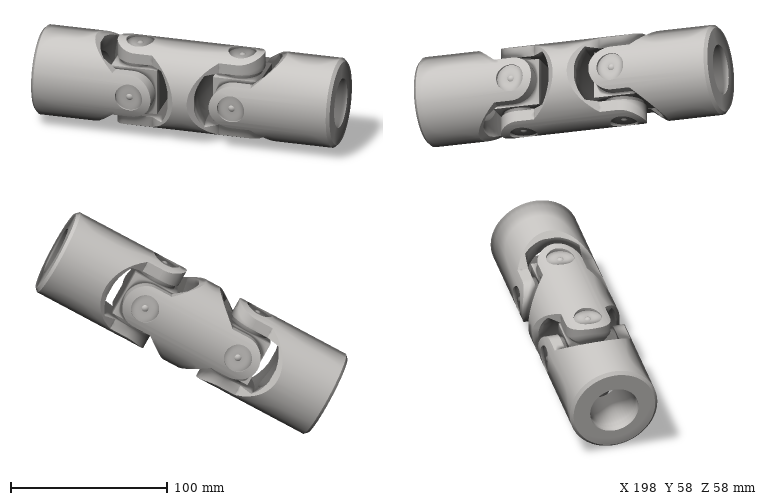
import cadquery as cq

length = 198.0
body_diameter = 58.0
joint_spacing = 67.7
end_chamfer = 2.0
bore_diameter = 32.0

ear_width = 29.1
ear_straight = 11.7
shoulder_run = 17.5

slot_width = 36.0
slot_floor_radius = 28.5
slot_rim_radius = 25.5
slot_rim_offset = 25.7

block_size = 30.7
boss_diameter = 26.0
pin_diameter = 18.0
pin_span = 53.5
dome_diameter = 4.4
dome_height = 1.0

body_radius = body_diameter / 2
joint_x = joint_spacing / 2
ear_half_width = ear_width / 2
shoulder_end = ear_straight + shoulder_run


def shaft(start, end):
    """Round bar along X between two X positions."""
    return cq.Workplane("YZ").workplane(offset=start).circle(body_radius).extrude(end - start)


def place_at_joint(shape, x, shaft_side, ears_across_y):
    """Move a shape made at the origin, with its shaft on +X and ears across Z, to the joint at x."""
    if shaft_side < 0:
        shape = shape.rotate((0, 0, 0), (0, 0, 1), 180)
    if ears_across_y:
        shape = shape.rotate((0, 0, 0), (1, 0, 0), 90)
    return shape.translate((x, 0, 0))


def ear_envelope():
    """Outline of round-ended ears that widen over sloped shoulders into the shaft."""
    return (
        cq.Workplane("XY")
        .moveTo(0, ear_half_width)
        .lineTo(ear_straight, ear_half_width)
        .lineTo(shoulder_end, body_radius)
        .lineTo(length, body_radius)
        .lineTo(length, -body_radius)
        .lineTo(shoulder_end, -body_radius)
        .lineTo(ear_straight, -ear_half_width)
        .lineTo(0, -ear_half_width)
        .threePointArc((-ear_half_width, 0), (0, ear_half_width))
        .close()
        .extrude(body_radius, both=True)
    )


def ear_slot():
    """Gap between the ears, with a barrel-shaped floor turned about the Y axis of the joint."""
    floor = (
        cq.Workplane("XY")
        .moveTo(0, -slot_rim_offset)
        .lineTo(slot_rim_radius, -slot_rim_offset)
        .threePointArc((slot_floor_radius, 0), (slot_rim_radius, slot_rim_offset))
        .lineTo(0, slot_rim_offset)
        .close()
        .revolve(360, (0, 0, 0), (0, 1, 0))
    )
    gap = cq.Workplane("XY").box(body_diameter, body_diameter, slot_width)
    mouth = gap.translate((-body_radius, 0, 0))
    return gap.intersect(floor).union(mouth)


def pin_hole():
    """Hole for the pins through both ears."""
    return cq.Workplane("XY").circle(pin_diameter / 2).extrude(body_radius, both=True)


def cut_fork(body, x, shaft_side, ears_across_y):
    """Shape the fork at the joint at x, whose shaft lies on the given side of the joint."""
    envelope = place_at_joint(ear_envelope(), x, shaft_side, ears_across_y)
    slot = place_at_joint(ear_slot(), x, shaft_side, ears_across_y)
    hole = place_at_joint(pin_hole(), x, shaft_side, ears_across_y)
    return body.intersect(envelope).cut(slot).cut(hole)


def make_end_yoke(side):
    """Bored end yoke on the -X or +X side, with its ears across Y."""
    blank = shaft(joint_x - ear_half_width, length / 2).faces(">X").chamfer(end_chamfer)
    bore = cq.Workplane("YZ").circle(bore_diameter / 2).extrude(length / 2)
    yoke = cut_fork(blank.cut(bore), joint_x, 1, True)
    if side < 0:
        yoke = yoke.rotate((0, 0, 0), (0, 0, 1), 180)
    return yoke


def make_middle_yoke():
    """Double yoke with both pairs of ears across Z."""
    reach = joint_x + ear_half_width
    yoke = shaft(-reach, reach)
    for side in (-1, 1):
        yoke = cut_fork(yoke, side * joint_x, -side, False)
    return yoke


def cross_arms():
    """Two opposite arms along Z, each a boss and a pin with a low dome in the middle of its end."""
    boss = cq.Workplane("XY").circle(boss_diameter / 2).extrude(slot_width / 2, both=True)
    pin = cq.Workplane("XY").circle(pin_diameter / 2).extrude(pin_span / 2, both=True)
    arms = boss.union(pin)
    dome_radius = dome_diameter / 2
    sphere_radius = (dome_radius**2 + dome_height**2) / (2 * dome_height)
    sphere_centre = pin_span / 2 + dome_height - sphere_radius
    for end in (-1, 1):
        dome = cq.Workplane("XY").sphere(sphere_radius).translate((0, 0, end * sphere_centre))
        arms = arms.union(dome)
    return arms


def make_cross(x):
    """Cross with a cubic centre and four arms, at the joint at x."""
    block = cq.Workplane("XY").box(block_size, block_size, block_size)
    arms_z = cross_arms()
    arms_y = arms_z.rotate((0, 0, 0), (1, 0, 0), 90)
    return block.union(arms_z).union(arms_y).translate((x, 0, 0))


end_yokes = [make_end_yoke(side) for side in (-1, 1)]
middle_yoke = make_middle_yoke()
crosses = [make_cross(side * joint_x) for side in (-1, 1)]

result = cq.Compound.makeCompound(
    [
        *[yoke.val() for yoke in end_yokes],
        middle_yoke.val(),
        *[cross.val() for cross in crosses],
    ]
)